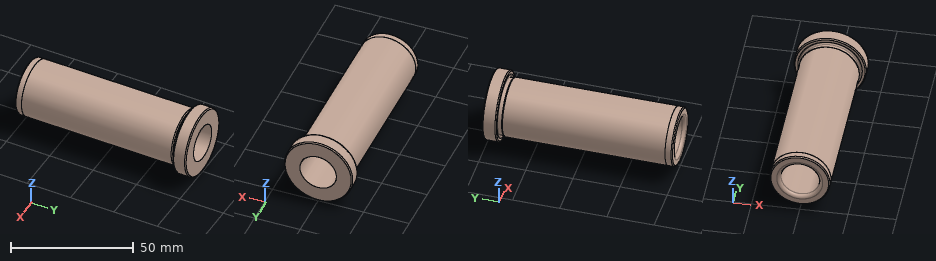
import cadquery as cq

length = 80.0
head_diameter = 30.0
head_thickness = 6.0
head_chamfer = 0.5
body_diameter = 25.0
body_chamfer = 0.5
lead_length = 3.0
lead_clearance = 0.04
neck_diameter = 24.0
neck_width = 2.0
relief_diameter = 26.7
relief_fillet = 0.5
bore_diameter = 16.0
bore_mouth_radius = 1.5

front_y = -length / 2
back_y = length / 2
head_y = back_y - head_thickness
body_end_y = head_y - neck_width
lead_y = front_y + lead_length

head_radius = head_diameter / 2
body_radius = body_diameter / 2
neck_radius = neck_diameter / 2
relief_radius = relief_diameter / 2
lead_radius = body_radius - lead_clearance
neck_y = body_end_y + body_radius - neck_radius

diagonal = relief_fillet * 0.5**0.5
arc_center_x = neck_radius + relief_fillet
arc_center_y = head_y + relief_radius - arc_center_x - 2 * diagonal


def revolved_blank():
    """Head with face relief, neck undercut, body and lead-in end as one turned profile."""
    return (
        cq.Workplane("XY")
        .moveTo(0, front_y)
        .lineTo(lead_radius - body_chamfer, front_y)
        .lineTo(lead_radius, front_y + body_chamfer)
        .lineTo(lead_radius, lead_y)
        .lineTo(body_radius, lead_y)
        .lineTo(body_radius, body_end_y)
        .lineTo(neck_radius, neck_y)
        .lineTo(neck_radius, arc_center_y)
        .threePointArc(
            (arc_center_x, arc_center_y + relief_fillet),
            (arc_center_x + diagonal, arc_center_y + diagonal),
        )
        .lineTo(relief_radius, head_y)
        .lineTo(head_radius - head_chamfer, head_y)
        .lineTo(head_radius, head_y + head_chamfer)
        .lineTo(head_radius, back_y - head_chamfer)
        .lineTo(head_radius - head_chamfer, back_y)
        .lineTo(0, back_y)
        .close()
        .revolve(360, (0, 0, 0), (0, 1, 0))
    )


def bore_cutter():
    """Through bore flared by a rounded mouth at the front end."""
    bore_radius = bore_diameter / 2
    mouth_y = front_y + bore_mouth_radius
    arc_offset = bore_mouth_radius * (1 - 0.5**0.5)
    return (
        cq.Workplane("XY")
        .moveTo(0, front_y)
        .lineTo(bore_radius + bore_mouth_radius, front_y)
        .threePointArc((bore_radius + arc_offset, front_y + arc_offset), (bore_radius, mouth_y))
        .lineTo(bore_radius, back_y)
        .lineTo(0, back_y)
        .close()
        .revolve(360, (0, 0, 0), (0, 1, 0))
    )


result = revolved_blank().cut(bore_cutter())